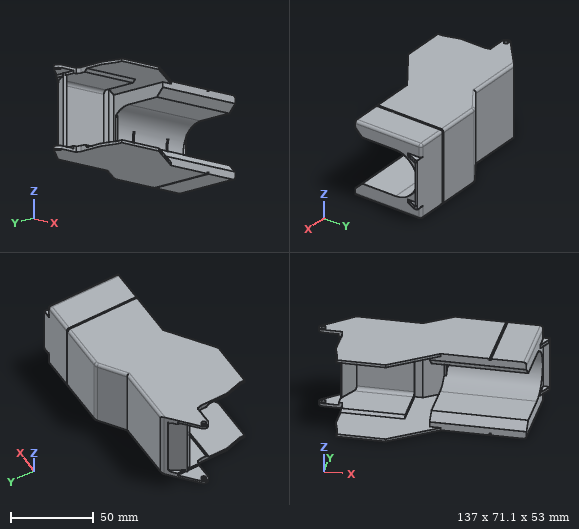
import cadquery as cq
import math

length = 137.0
depth = 71.1
height = 53.0
half_height = height / 2

end_x = 133.0
lug_radius = 3.0
lug_y = 39.3
hole_x = 2.7
hole_radius = 1.5
front_x = 15.8
toe_x = 19.2
toe_y = 3.4
heel_y = 14.8
lug_relief = 0.8
lug_relief_drop = 3.0
nose_x = 19.5
nose_y = 57.5
nose_end_x = 21.6
low_back_y = 58.9
low_back_end_x = 60.3
high_back_start_x = 77.7
back_blend_radius = 4.4
edge_radius = 1.9
belly_start_x = 49.9
belly_end_x = 79.7
belly_y = 21.2
back_slope = (depth - low_back_y) / (high_back_start_x - low_back_end_x)

back_wall = 2.0
plate = 1.8
ear = 2.0
ledge = 3.7
pad = 10.3

lip_x = 12.3
lip_y = 43.0
lip_top_y = 45.3
lip_inner_x = 13.3
pillar_x = 12.9
lip_inner_slope = 0.54
lip_outer_slope = 0.56
pocket_top_y = 55.7
floor_y = 55.6
floor_radius = 2.3
step_x = 55.7
ledge_end_y = 27.7

ramp_foot_y = low_back_y - back_wall
ramp_x = low_back_end_x + back_wall * math.tan(math.atan(back_slope) / 2)

barrel_x = 72.7
bore_radius = half_height - pad
bore_y = 51.6
pad_flat = 5.0
shelf_width = 1.4
shelf_half_height = 11.4
slit_width = 1.0
slit_half_height = 5.2
slit_depth = 1.1
slit_places = (91.1, 119.0)

groove_x = 110.0
groove_width = 0.8
groove_depth = 1.1

hook_half_height = 17.4
hook_wall = 2.0
hook_plate = 1.5
hook_y = 61.0
hook_tip = 1.9


def prism_z(points, half):
    """Extrude an XY outline symmetrically about Z = 0."""
    return cq.Workplane("XY").polyline(points).close().extrude(half, both=True)


def prism_x(points, start, end):
    """Extrude a YZ outline from X = start to X = end."""
    section = cq.Workplane("YZ", origin=(start, 0, 0))
    return section.polyline(points).close().extrude(end - start)


def block(x0, x1, y0, y1, half):
    """Box symmetric about Z = 0."""
    return prism_z([(x0, y0), (x1, y0), (x1, y1), (x0, y1)], half)


def mirrored(points):
    """Complete a YZ outline given by its +Z half."""
    return points + [(y, -z) for y, z in reversed(points)]


def ramp_y(x):
    """Y of the ramp surface at a given X."""
    return ramp_foot_y + back_slope * (x - ramp_x)


def envelope():
    """Solid outer shape, with rounded back and end edges."""
    run = nose_x - lug_radius
    rise = nose_y - lug_y
    tangent = math.atan2(rise, run) + math.acos(lug_radius / math.hypot(run, rise))
    tangent_x = lug_radius * (1 + math.cos(tangent))
    tangent_y = lug_y + lug_radius * math.sin(tangent)
    body = (
        cq.Workplane("XY", origin=(0, 0, -half_height))
        .moveTo(lug_radius, lug_y - lug_radius)
        .lineTo(front_x - lug_relief, lug_y - lug_radius)
        .lineTo(front_x, lug_y - lug_radius - lug_relief_drop)
        .lineTo(front_x, heel_y)
        .lineTo(toe_x, toe_y)
        .lineTo(toe_x, 0)
        .lineTo(belly_start_x, 0)
        .lineTo(belly_end_x, belly_y)
        .lineTo(end_x, belly_y)
        .lineTo(end_x, depth)
        .lineTo(high_back_start_x, depth)
        .lineTo(low_back_end_x, low_back_y)
        .lineTo(nose_end_x, low_back_y)
        .lineTo(nose_x, nose_y)
        .lineTo(tangent_x, tangent_y)
        .threePointArc((0, lug_y), (lug_radius, lug_y - lug_radius))
        .close()
        .extrude(height)
    )
    blend_corner = cq.selectors.NearestToPointSelector((high_back_start_x, depth, 0))
    body = body.edges("|Z").edges(blend_corner).fillet(back_blend_radius)
    midpoints = [
        ((nose_end_x + low_back_end_x) / 2, low_back_y),
        ((low_back_end_x + high_back_start_x) / 2, (low_back_y + depth) / 2),
        ((high_back_start_x + end_x) / 2, depth),
        (end_x, (belly_y + depth) / 2),
    ]
    picks = cq.selectors.NearestToPointSelector((end_x, depth, 0))
    for x, y in midpoints:
        for z in (-half_height, half_height):
            picks = picks + cq.selectors.NearestToPointSelector((x, y, z))
    return body.edges(picks).fillet(edge_radius)


def chamber():
    """Open space between the plates, with the ramp towards the barrel."""
    outline = [
        (0, 0),
        (belly_end_x, 0),
        (belly_end_x, belly_y),
        (barrel_x, belly_y),
        (barrel_x, ramp_y(barrel_x)),
        (ramp_x, ramp_foot_y),
        (step_x, ramp_foot_y),
        (step_x, ledge_end_y),
        (0, ledge_end_y),
    ]
    return prism_z(outline, half_height - plate)


def recess():
    """Space between the ledges, up to the floor and the inclined lip."""
    wide = half_height - plate
    narrow = half_height - ledge
    ledge_start_y = ledge_end_y + ledge - plate
    half = [(ledge_end_y, wide), (ledge_start_y, narrow), (floor_y, narrow)]
    section = prism_x(mirrored(half), 0, step_x)
    section = section.faces(">Y").edges("|X").fillet(floor_radius)
    plan = [
        (lip_x, 0),
        (step_x, 0),
        (step_x, floor_y),
        (lip_inner_x + lip_inner_slope * (floor_y - lip_y), floor_y),
        (lip_inner_x, lip_y),
        (lip_x, lip_top_y),
    ]
    return section.intersect(prism_z(plan, half_height))


def nose_pocket():
    """Round-cornered pocket on the outside of the lip."""
    section = block(0, nose_x, 0, pocket_top_y, half_height - ledge)
    section = section.faces(">Y").edges("|X").fillet(edge_radius)
    plan = [
        (0, lip_top_y),
        (lip_x, lip_top_y),
        (lip_x + lip_outer_slope * (pocket_top_y - lip_top_y), pocket_top_y),
        (0, pocket_top_y),
    ]
    return section.intersect(prism_z(plan, half_height))


def lug_gap():
    """Space between the two lugs, leaving the bevelled end of the lip."""
    half = half_height - ear
    gap = block(0, pillar_x, 0, depth, half)
    lip_end = [
        (lip_x, lip_top_y),
        (lip_inner_x, lip_y),
        (lip_inner_x, lip_top_y + (lip_inner_x - lip_x) / lip_outer_slope),
    ]
    return gap.cut(prism_z(lip_end, half))


def barrel():
    """Round-backed trough, stopped by a shelf and the inclined back wall."""
    pad_half = half_height - pad_flat
    chamfer_y = belly_y + pad - pad_flat
    apex_y = bore_y + bore_radius
    section = (
        cq.Workplane("YZ", origin=(barrel_x, 0, 0))
        .moveTo(belly_y, -pad_half)
        .lineTo(chamfer_y, -bore_radius)
        .lineTo(bore_y, -bore_radius)
        .threePointArc((apex_y, 0), (bore_y, bore_radius))
        .lineTo(chamfer_y, bore_radius)
        .lineTo(belly_y, pad_half)
        .close()
        .extrude(end_x - barrel_x)
    )
    shelf_x = barrel_x + shelf_width
    shelf_y = bore_y + math.sqrt(bore_radius**2 - shelf_half_height**2)
    plan = [
        (barrel_x, 0),
        (end_x, 0),
        (end_x, apex_y),
        (ramp_x + (apex_y - ramp_foot_y) / back_slope, apex_y),
        (shelf_x, ramp_y(shelf_x)),
        (shelf_x, shelf_y),
        (barrel_x, shelf_y),
    ]
    return section.intersect(prism_z(plan, half_height))


def slits():
    """Narrow slits sunk into the back of the barrel."""
    top_y = bore_y + bore_radius + slit_depth
    cuts = cq.Workplane("XY")
    for x in slit_places:
        cuts = cuts.add(block(x, x + slit_width, bore_y, top_y, slit_half_height))
    return cuts.combine()


def groove():
    """Shallow groove round both plates and the back."""
    ring = block(groove_x, groove_x + groove_width, 0, depth, half_height)
    core = block(0, length, 0, depth - groove_depth, half_height - groove_depth)
    return ring.cut(core)


def hook():
    """Tapered hook: a back plate between two side gussets."""
    plan = [
        (end_x - edge_radius, hook_y),
        (end_x, hook_y),
        (length, depth - hook_tip),
        (length, depth),
        (end_x - edge_radius, depth),
    ]
    body = prism_z(plan, hook_half_height)
    gap = block(end_x, length, 0, depth - hook_plate, hook_half_height - hook_wall)
    return body.cut(gap)


def lug_holes():
    """Pivot hole through both lugs."""
    return cq.Workplane("XY").center(hole_x, lug_y).circle(hole_radius).extrude(height, both=True)


result = envelope().union(hook())
for cut in (chamber(), recess(), nose_pocket(), lug_gap(), barrel(), slits(), groove(), lug_holes()):
    result = result.cut(cut)